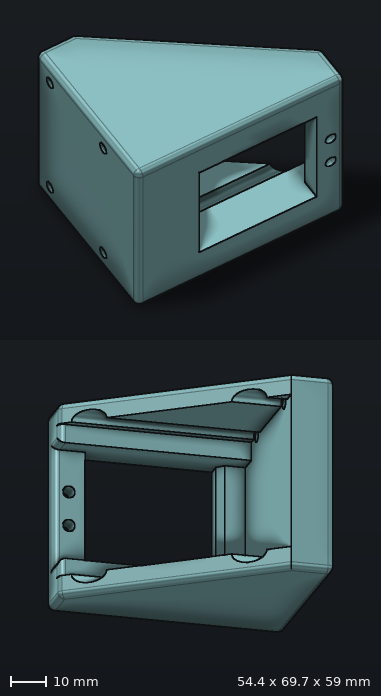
import cadquery as cq

WIDTH = 54.4
DEPTH = 69.7
HEIGHT = 58.95
EDGE_RADIUS = 1.95

GUSSET_THICKNESS = 6.5
LEG_THICKNESS = 12.75
SIDE_WALL_THICKNESS = 6.5
RIB_HEIGHT = 5.5

WINDOW_FRONT = 20.9
WINDOW_CHAMFER = 2.1
END_STRIP = 9.55

HOLE_DIAMETER = 3.5
HEAD_DIAMETER = 6.3
FRONT_HOLE_XS = (7.5, 36.2)
END_HOLE_SPACING = 10.1
END_HOLE_INSET = 4.8

LEG_X = WIDTH - LEG_THICKNESS
WALL_X = WIDTH - SIDE_WALL_THICKNESS
CORE_HEIGHT = HEIGHT - 2 * GUSSET_THICKNESS
CHANNEL_BOTTOM = GUSSET_THICKNESS + RIB_HEIGHT
CHANNEL_HEIGHT = HEIGHT - 2 * CHANNEL_BOTTOM
WINDOW_BACK = DEPTH - END_STRIP
FRONT_HOLE_ZS = (GUSSET_THICKNESS, HEIGHT - GUSSET_THICKNESS)


def box(x0, y0, z0, x_size, y_size, z_size):
    return cq.Workplane("XY").box(x_size, y_size, z_size, centered=False).translate((x0, y0, z0))


def prism(outline, z0, height):
    return cq.Workplane("XY", origin=(0, 0, z0)).polyline(outline).close().extrude(height)


def y_cylinder(diameter, x, z, y0, y1):
    circle = cq.Workplane("XZ", origin=(x, y0, z)).circle(diameter / 2)
    return circle.extrude(y0 - y1)


def make_gussets():
    """Rounded wedge-shaped block with the space between its two end plates removed."""
    outline = [(0, 0), (WIDTH, 0), (WIDTH, DEPTH), (LEG_X, DEPTH), (0, LEG_THICKNESS)]
    wedge = prism(outline, 0, HEIGHT)
    wedge = wedge.edges("#Z or (|Z and (<Y or >Y))").fillet(EDGE_RADIUS)
    return wedge.cut(box(0, 0, GUSSET_THICKNESS, WIDTH, DEPTH, CORE_HEIGHT))


def make_legs():
    """L-shaped core; a channel in its side leg leaves a rib beside each gusset."""
    outline = [
        (0, 0), (WIDTH, 0), (WIDTH, DEPTH),
        (LEG_X, DEPTH), (LEG_X, LEG_THICKNESS), (0, LEG_THICKNESS),
    ]
    legs = prism(outline, GUSSET_THICKNESS, CORE_HEIGHT)
    legs = legs.cut(box(0, LEG_THICKNESS, CHANNEL_BOTTOM, WALL_X, DEPTH, CHANNEL_HEIGHT))
    legs = legs.faces("<Y").edges("|Z").fillet(EDGE_RADIUS)

    return legs.faces(">Y").edges("|Z or (|X exc (<Z or >Z))").fillet(EDGE_RADIUS)


def make_window():
    outline = [
        (WALL_X, WINDOW_FRONT - WINDOW_CHAMFER),
        (WALL_X + WINDOW_CHAMFER, WINDOW_FRONT),
        (WIDTH, WINDOW_FRONT),
        (WIDTH, WINDOW_BACK),
        (WALL_X, WINDOW_BACK),
    ]
    return prism(outline, CHANNEL_BOTTOM, CHANNEL_HEIGHT)


def make_end_holes():
    spots = [(DEPTH - END_HOLE_INSET, HEIGHT / 2 + side * END_HOLE_SPACING / 2) for side in (-1, 1)]
    return cq.Workplane("YZ").pushPoints(spots).circle(HOLE_DIAMETER / 2).extrude(WIDTH)


result = make_gussets().union(make_legs()).cut(make_window()).cut(make_end_holes())

for hole_x in FRONT_HOLE_XS:
    for hole_z in FRONT_HOLE_ZS:
        result = result.cut(y_cylinder(HOLE_DIAMETER, hole_x, hole_z, 0, LEG_THICKNESS))
        result = result.cut(y_cylinder(HEAD_DIAMETER, hole_x, hole_z, LEG_THICKNESS, DEPTH))